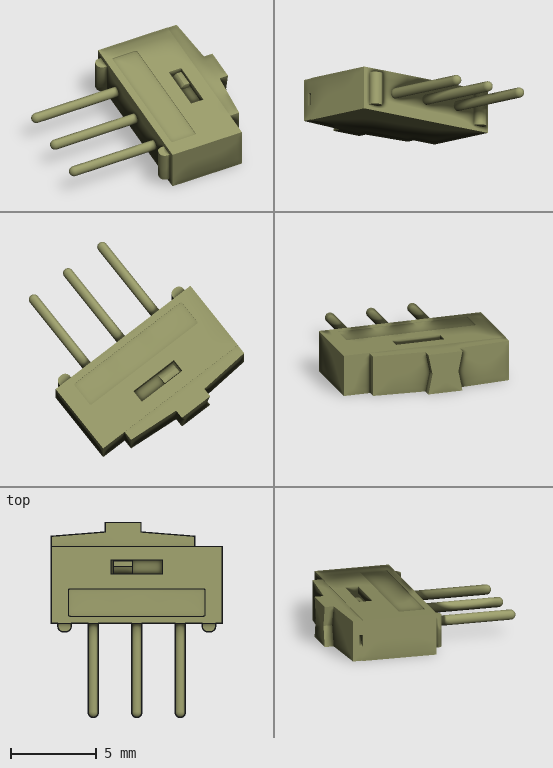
import cadquery as cq
import math


housing_width = 10.0
housing_length = 4.5
housing_height = 2.5
housing_top = housing_height / 2

foot_spacing = 8.44
foot_width = 0.8
foot_height = 1.9
foot_length = 0.5
foot_tip_flat = 0.1
foot_round = (foot_width - foot_tip_flat) / 2

label_width = 8.0
label_length = 1.6
label_round = 0.1
label_depth = 0.04
label_center_y = 1.22

window_width = 3.0
window_length = 0.8
window_depth = 0.45
window_setback = 0.8
window_back_y = housing_length - window_setback
window_front_y = window_back_y - window_length
window_floor = housing_top - window_depth

slider_width = 8.4
slider_height = 2.45
slider_left = -housing_width / 2
slider_center_x = slider_left + slider_width / 2
slider_end_length = 0.6
slider_shoulder_length = 0.85
knob_width = 2.1
knob_length = 1.4
knob_notch_depth = 0.25

detent_width = 0.7
detent_depth = 0.2

tongue_width = 1.1
tongue_recess = 0.14
tongue_back_gap = 0.06
tongue_flat_length = 0.31
tongue_top = housing_top - tongue_recess
tongue_bottom = -tongue_top
tongue_back_y = window_back_y - tongue_back_gap
tongue_bevel_y = tongue_back_y - tongue_flat_length

pin_diameter = 0.6
pin_radius = pin_diameter / 2
pin_pitch = 2.54
pin_exposed_length = 5.5
pin_insertion = 1.0
pin_positions = [-pin_pitch, 0, pin_pitch]


def make_pin(x):
    """Round pin along Y with a hemispherical outer tip."""
    dome_start_y = pin_radius - pin_exposed_length
    tip_y = -pin_exposed_length
    arc_offset = pin_radius * math.sqrt(0.5)
    return (
        cq.Workplane("XY")
        .moveTo(0, pin_insertion)
        .lineTo(pin_radius, pin_insertion)
        .lineTo(pin_radius, dome_start_y)
        .threePointArc((arc_offset, dome_start_y - arc_offset), (0, tip_y))
        .close()
        .revolve(360, (0, 0, 0), (0, 1, 0))
        .translate((x, 0, 0))
    )


def make_tongue():
    """Tongue running from the slider under the window's back wall and rising into the window."""
    outline = [
        (housing_length, tongue_bottom),
        (housing_length, window_floor),
        (tongue_back_y, window_floor),
        (tongue_back_y, tongue_top),
        (tongue_bevel_y, tongue_top),
        (window_front_y, window_floor),
        (window_front_y, tongue_bottom),
    ]
    return (
        cq.Workplane("YZ")
        .polyline(outline)
        .close()
        .extrude(tongue_width / 2, both=True)
        .translate((slider_center_x, 0, 0))
    )


def make_slider():
    """Slider with sloping shoulders, a V-notched knob, an end detent and the tongue."""
    half_slider = slider_width / 2
    half_knob = knob_width / 2
    shoulder_slope = (slider_shoulder_length - slider_end_length) / (half_slider - half_knob)
    ridge_length = slider_end_length + shoulder_slope * half_slider
    base_outline = [
        (-half_slider, 0),
        (-half_slider, slider_end_length),
        (0, ridge_length),
        (half_slider, slider_end_length),
        (half_slider, 0),
    ]
    knob_outline = [
        (-half_knob, -slider_height / 2),
        (half_knob, -slider_height / 2),
        (half_knob - knob_notch_depth, 0),
        (half_knob, slider_height / 2),
        (-half_knob, slider_height / 2),
        (-half_knob + knob_notch_depth, 0),
    ]
    base = cq.Workplane("XY").polyline(base_outline).close().extrude(slider_height / 2, both=True)
    knob = cq.Workplane("XZ").polyline(knob_outline).close().extrude(-knob_length)
    slider = base.union(knob).translate((slider_center_x, housing_length, 0))
    detent = (
        cq.Workplane("XZ", origin=(slider_left, housing_length, 0))
        .circle(detent_width / 2)
        .extrude(-detent_depth)
    )
    return slider.cut(detent).union(make_tongue())


def make_foot(x):
    """Foot on the pin face, rounded along both outer edges."""
    return (
        cq.Workplane("XY")
        .box(foot_width, foot_length, foot_height)
        .edges("<Y and |Z")
        .fillet(foot_round)
        .translate((x, -foot_length / 2, 0))
    )


def make_housing(pins):
    """Housing block with feet, label recess, window, tongue slot and pin holes."""
    housing = cq.Workplane("XY").box(housing_width, housing_length, housing_height)
    housing = housing.translate((0, housing_length / 2, 0))
    for side in (-1, 1):
        housing = housing.union(make_foot(side * foot_spacing / 2))
    label = (
        cq.Workplane("XY")
        .box(label_width, label_length, label_depth)
        .edges("|Z")
        .fillet(label_round)
        .translate((0, label_center_y, housing_top - label_depth / 2))
    )
    window = (
        cq.Workplane("XY")
        .box(window_width, window_length, window_depth)
        .translate((0, (window_back_y + window_front_y) / 2, housing_top - window_depth / 2))
    )
    housing = housing.cut(label).cut(window).cut(make_tongue())
    for pin in pins:
        housing = housing.cut(pin)
    return housing


pins = [make_pin(x) for x in pin_positions]
slider = make_slider()
housing = make_housing(pins)

result = cq.Compound.makeCompound([housing.val(), slider.val(), *[pin.val() for pin in pins]])